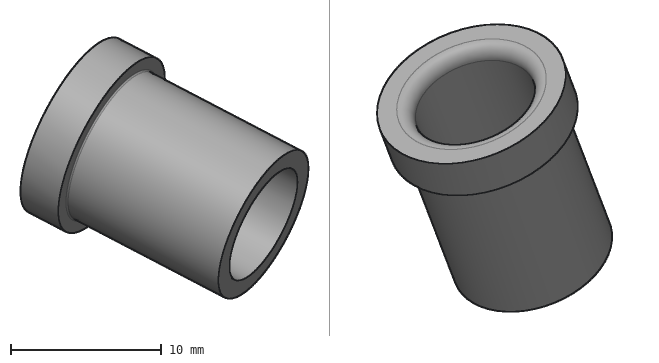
import cadquery as cq

length = 15.0
flange_diameter = 13.0
flange_thickness = 3.0
body_diameter = 11.0
bore_diameter = 8.3
mouth_radius = 1.0
neck_fillet = 0.1

smallest_circle = cq.selectors.RadiusNthSelector(0)


def cylinder_along_x(diameter, cylinder_length):
    return cq.Workplane("YZ").circle(diameter / 2).extrude(cylinder_length)


body = cylinder_along_x(body_diameter, length)
flange = cylinder_along_x(flange_diameter, flange_thickness)
bushing = body.union(flange)

neck_plane = cq.selectors.NearestToPointSelector((flange_thickness, 0, 0))
bushing = bushing.faces("|X").faces(neck_plane).edges(smallest_circle).fillet(neck_fillet)

bushing = bushing.cut(cylinder_along_x(bore_diameter, length))
result = bushing.faces("<X").edges(smallest_circle).fillet(mouth_radius)